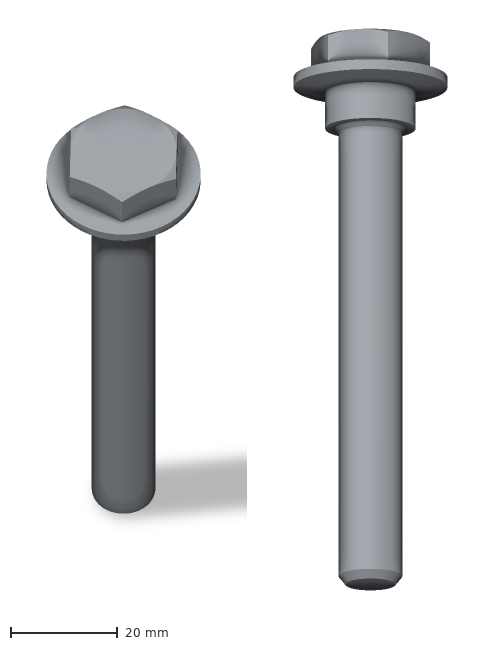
import cadquery as cq
import math

total_length = 105.0

head_height = 7.0
across_flats = 20.0
across_corners = across_flats / math.cos(math.radians(30))
head_chamfer_angle = 30.0

flange_diameter = 29.0
flange_edge_thickness = 1.9
flange_cone_height = 1.0

collar_diameter = 17.0
collar_length = 6.9
neck_diameter = 13.4
neck_height = 0.9
shank_diameter = 12.0

tip_diameter = 9.5
tip_height = 1.6

flange_top = total_length - head_height
flange_edge_bottom = flange_top - flange_edge_thickness
collar_top = flange_edge_bottom - flange_cone_height
collar_bottom = collar_top - collar_length
neck_bottom = collar_bottom - neck_height


def make_body():
    """Revolve the flange, collar, neck and shank about Z."""
    return (
        cq.Workplane("XZ")
        .moveTo(0, 0)
        .lineTo(tip_diameter / 2, 0)
        .lineTo(shank_diameter / 2, tip_height)
        .lineTo(shank_diameter / 2, neck_bottom)
        .lineTo(neck_diameter / 2, collar_bottom)
        .lineTo(collar_diameter / 2, collar_bottom)
        .lineTo(collar_diameter / 2, collar_top)
        .lineTo(flange_diameter / 2, flange_edge_bottom)
        .lineTo(flange_diameter / 2, flange_top)
        .lineTo(0, flange_top)
        .close()
        .revolve(360, (0, 0, 0), (0, 1, 0))
    )


def make_head():
    """Hexagonal prism whose top corners are trimmed by a cone."""
    hexagon = (
        cq.Workplane("XY", origin=(0, 0, flange_top))
        .polygon(6, across_corners)
        .extrude(head_height)
    )
    top_radius = across_flats / 2
    envelope_radius = flange_diameter / 2
    cone_drop = (envelope_radius - top_radius) * math.tan(math.radians(head_chamfer_angle))
    envelope = (
        cq.Workplane("XZ")
        .moveTo(0, flange_top)
        .lineTo(envelope_radius, flange_top)
        .lineTo(envelope_radius, total_length - cone_drop)
        .lineTo(top_radius, total_length)
        .lineTo(0, total_length)
        .close()
        .revolve(360, (0, 0, 0), (0, 1, 0))
    )
    return hexagon.intersect(envelope)


result = make_body().union(make_head())